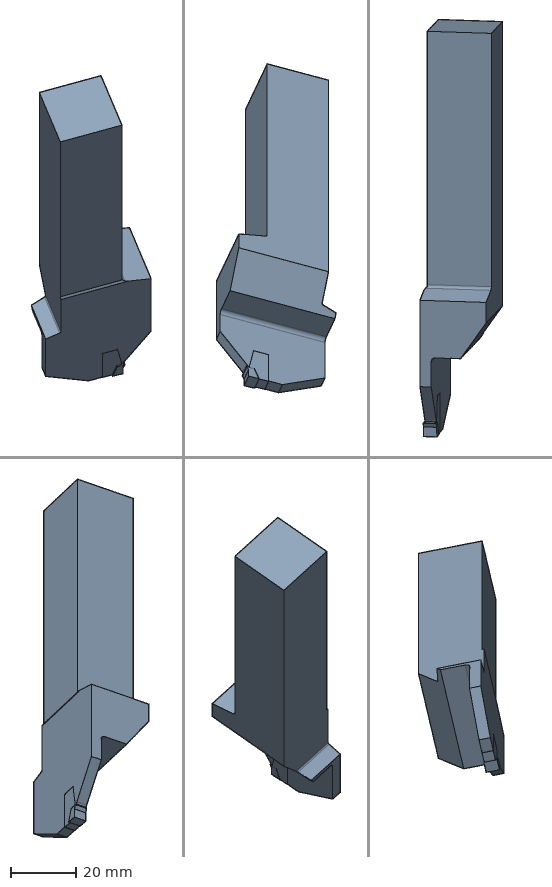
import cadquery as cq

height = 126.4
depth = 34.1

shank_side = 20.0
shank_front = 4.9
shank_back = shank_front + shank_side

head_width = 20.6
head_step_z = 46.1
head_step = head_width - shank_side
flange_root_z = 46.6
flange_edge_z = 44.2
nose_root_z = 29.2
nose_edge_z = 27.9
bevel_top_z = 37.8
bevel_bottom_z = 26.4
bevel_run = 8.0
flange_radius = 1.0
nose_radius = 0.5
neck_radius = 1.3

blade_thickness = 3.5
blade_left = head_width - blade_thickness
blade_back_z = 17.3
blade_front_z = 8.7
blade_bottom_z = 0.4
blade_bottom_front = 13.9
jaw_tip = (25.5, 5.4)
jaw_lip = (25.3, 4.8)

seat_front = 18.3
seat_top_z = 12.5
seat_top_back = 23.2
seat_mouth = (24.6, 4.5)
insert_front_z = 0.3
edge_top = (25.5, 4.3)
edge_waist = (24.9, 3.0)
edge_tip = (24.9, 0)
edge_root = (23.0, 4.3)
edge_toe = (21.5, 0.1)
edge_right = 21.1
edge_left = 16.9


def side_prism(points, x_start, x_end):
    """Extrude a closed (Y, Z) outline from x_start to x_end."""
    return cq.Workplane("YZ", origin=(x_start, 0, 0)).polyline(points).close().extrude(x_end - x_start)


def front_prism(points):
    """Extrude a closed (X, Z) outline through the whole depth."""
    return cq.Workplane("XZ").polyline(points).close().extrude(-depth)


def make_holder():
    side_outline = [
        (shank_front, height),
        (shank_back, height),
        (shank_back, flange_root_z),
        (depth, flange_edge_z),
        (depth, blade_back_z),
        jaw_tip,
        jaw_lip,
        seat_mouth,
        (seat_top_back, seat_top_z),
        (seat_front, seat_top_z),
        (seat_front, blade_bottom_z),
        (blade_bottom_front, blade_bottom_z),
        (0, blade_front_z),
        (0, nose_edge_z),
        (shank_front, nose_root_z),
    ]
    side_body = side_prism(side_outline, 0, head_width)
    rounded_corners = (
        (shank_back, flange_root_z, flange_radius),
        (shank_front, nose_root_z, nose_radius),
    )
    for corner_y, corner_z, radius in rounded_corners:
        corner = cq.selectors.NearestToPointSelector((head_width / 2, corner_y, corner_z))
        side_body = side_body.edges(corner).fillet(radius)

    front_outline = [
        (0, height),
        (shank_side, height),
        (shank_side, head_step_z + head_step),
        (head_width, head_step_z),
        (head_width, 0),
        (blade_left, 0),
        (blade_left, bevel_bottom_z),
        (bevel_run, bevel_bottom_z),
        (0, bevel_top_z),
    ]
    front_body = front_prism(front_outline)
    corner = cq.selectors.NearestToPointSelector((blade_left, depth / 2, bevel_bottom_z))
    front_body = front_body.edges(corner).fillet(neck_radius)
    return side_body.intersect(front_body)


def make_insert():
    outline = [
        (seat_front, insert_front_z),
        (seat_front, seat_top_z),
        (seat_top_back, seat_top_z),
        seat_mouth,
        edge_top,
        edge_waist,
        edge_tip,
    ]
    body = side_prism(outline, blade_left, head_width)

    cutting_outline = [edge_root, edge_top, edge_waist, edge_tip, edge_toe]
    flare = front_prism([
        (blade_left, edge_top[1]),
        (edge_right, edge_top[1]),
        (edge_right, 0),
        (edge_left, 0),
    ])
    cutting_end = side_prism(cutting_outline, edge_left, edge_right).intersect(flare)
    return body.union(cutting_end)


holder = make_holder()
insert = make_insert()
result = cq.Compound.makeCompound([holder.solids().val(), insert.solids().val()])